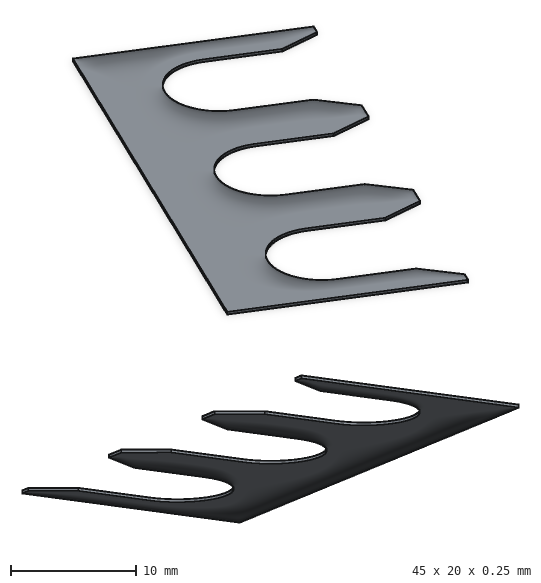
import cadquery as cq
import math

slot_count = 3
slot_pitch = 15.0
slot_width = 9.0
plate_depth = 20.0
thickness = 0.25
web_below_slot = 5.5
lead_in_run = 2.0
lead_in_angle = 60.0

plate_length = slot_count * slot_pitch
slot_radius = slot_width / 2
mouth_half_width = slot_radius + lead_in_run
lead_in_depth = lead_in_run * math.tan(math.radians(lead_in_angle))
open_edge_y = plate_depth / 2
lead_in_y = open_edge_y - lead_in_depth
slot_bottom_y = -plate_depth / 2 + web_below_slot
arc_center_y = slot_bottom_y + slot_radius


def make_plate():
    """Flat rectangular blank, centred on the origin."""
    return cq.Workplane("XY").box(plate_length, plate_depth, thickness)


def make_slot(center_x):
    """Round-bottomed slot with a flared mouth at the +Y edge."""
    return (
        cq.Workplane("XY", origin=(center_x, 0, -thickness / 2))
        .moveTo(-mouth_half_width, open_edge_y)
        .lineTo(-slot_radius, lead_in_y)
        .lineTo(-slot_radius, arc_center_y)
        .threePointArc((0, slot_bottom_y), (slot_radius, arc_center_y))
        .lineTo(slot_radius, lead_in_y)
        .lineTo(mouth_half_width, open_edge_y)
        .close()
        .extrude(thickness)
    )


result = make_plate()
for index in range(slot_count):
    slot_x = (index - (slot_count - 1) / 2) * slot_pitch
    result = result.cut(make_slot(slot_x))